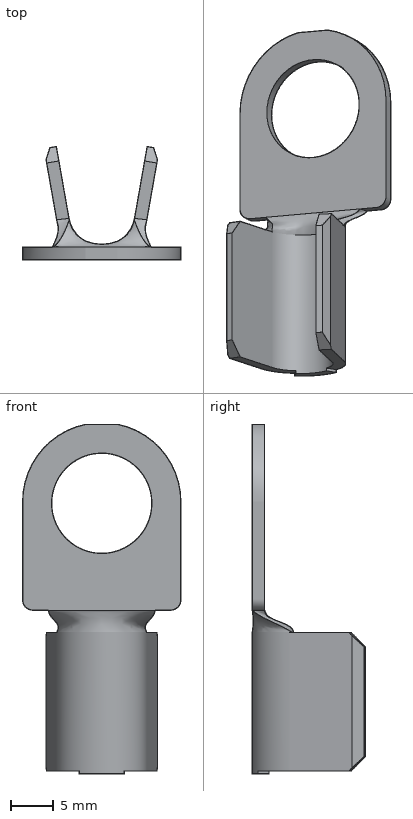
import cadquery as cq
import math


sheet = 1.5
total_height = 41.55

tongue_width = 18.8
tongue_radius = tongue_width / 2
top_flat_half_width = 1.9
tongue_bottom = 19.45
corner_radius = 1.25
hole_radius = 5.95
hole_center_z = 32.15
arc_center_z = total_height - math.sqrt(tongue_radius**2 - top_flat_half_width**2)

barrel_radius = 5.4
inner_radius = barrel_radius - sheet
barrel_bottom = 0.35
barrel_top = 16.8
wing_angle = math.radians(10)
wing_tip_y = 13.45
bevel_length = 1.33
bevel_depth = 0.7
wing_corner = 1.75

tab_half_angle = math.radians(30)

neck_extra_angle = math.radians(3)
neck_deep_z = 17.7
deep_half_width = 5.25
deep_inner_half_width = 4.05
deep_outer_y = 3.15
deep_inner_y = 4.15
neck_shallow_z = 18.55
shallow_half_width = 5.95
shallow_inner_half_width = 5.1
shallow_outer_y = 1.33
shallow_inner_y = 2.15
neck_front_y = 0.12
neck_back_y = 1.83
neck_end_front_half_width = 6.35
neck_end_back_half_width = 6.05

bend_half_angle = math.pi / 2 - wing_angle
wing_length = (wing_tip_y - barrel_radius + inner_radius * math.sin(wing_angle)) / math.cos(wing_angle)


def barrel_point(radius, angle):
    """XY point on a barrel arc; the angle is taken from the lowest point towards +X."""
    return (radius * math.sin(angle), barrel_radius - radius * math.cos(angle))


def along_wing(point, distance):
    """Shift an XY point along the +X wing, away from the barrel."""
    return (point[0] + distance * math.sin(wing_angle), point[1] + distance * math.cos(wing_angle))


def mirrored(point):
    return (-point[0], point[1])


def sector(half_angle, z):
    """Closed band of sheet around the barrel axis, from -half_angle to +half_angle."""
    outer_end = barrel_point(barrel_radius, half_angle)
    inner_end = barrel_point(inner_radius, half_angle)
    return (
        cq.Workplane("XY", origin=(0, 0, z))
        .moveTo(*mirrored(outer_end))
        .threePointArc((0, 0), outer_end)
        .lineTo(*inner_end)
        .threePointArc((0, sheet), mirrored(inner_end))
        .close()
    )


def make_tongue():
    arc_offset = tongue_radius * math.cos(math.pi / 4)
    blank = (
        cq.Workplane("XZ")
        .moveTo(-tongue_radius, tongue_bottom)
        .lineTo(tongue_radius, tongue_bottom)
        .lineTo(tongue_radius, arc_center_z)
        .threePointArc((arc_offset, arc_center_z + arc_offset), (top_flat_half_width, total_height))
        .lineTo(-top_flat_half_width, total_height)
        .threePointArc((-arc_offset, arc_center_z + arc_offset), (-tongue_radius, arc_center_z))
        .close()
        .extrude(-sheet)
    )
    blank = blank.faces("<Z").edges("|Y").fillet(corner_radius)
    hole = cq.Workplane("XZ").center(0, hole_center_z).circle(hole_radius).extrude(-sheet)
    return blank.cut(hole)


def make_wing():
    """The +X wing: outer face bevelled at the tip, tip corners cut at 45 degrees."""
    outer_root = barrel_point(barrel_radius, bend_half_angle)
    inner_root = barrel_point(inner_radius, bend_half_angle)
    inner_tip = along_wing(inner_root, wing_length)
    bevel_start = along_wing(outer_root, wing_length - bevel_length)
    tip_width = sheet - bevel_depth
    outer_tip = (
        inner_tip[0] + tip_width * math.cos(wing_angle),
        inner_tip[1] - tip_width * math.sin(wing_angle),
    )
    plate = (
        cq.Workplane("XY", origin=(0, 0, barrel_bottom))
        .polyline([outer_root, bevel_start, outer_tip, inner_tip, inner_root])
        .close()
        .extrude(barrel_top - barrel_bottom)
    )
    tip_y = inner_tip[1]
    side_outline = (
        cq.Workplane("YZ")
        .moveTo(tip_y - 2 * wing_length, barrel_bottom)
        .lineTo(tip_y - wing_corner, barrel_bottom)
        .lineTo(tip_y, barrel_bottom + wing_corner)
        .lineTo(tip_y, barrel_top - wing_corner)
        .lineTo(tip_y - wing_corner, barrel_top)
        .lineTo(tip_y - 2 * wing_length, barrel_top)
        .close()
        .extrude(tongue_radius, both=True)
        .translate((inner_tip[0], 0, 0))
        .rotate((*inner_tip, 0), (*inner_tip, 1), -math.degrees(wing_angle))
    )
    return plate.intersect(side_outline)


def trough(half_width, inner_half_width, outer_y, inner_y, z):
    """Closed wire of a bowed strip: front arc, slanted ends and back arc."""
    outer_end = (half_width, outer_y)
    inner_end = (inner_half_width, inner_y)
    return (
        cq.Workplane("XY", origin=(0, 0, z))
        .moveTo(*mirrored(outer_end))
        .threePointArc((0, neck_front_y), outer_end)
        .lineTo(*inner_end)
        .threePointArc((0, neck_back_y), mirrored(inner_end))
        .close()
        .val()
    )


def make_neck():
    """Smooth transition from the U section through two flattening troughs to the flat tongue."""
    base = sector(bend_half_angle + neck_extra_angle, barrel_top).val()
    deep = trough(deep_half_width, deep_inner_half_width, deep_outer_y, deep_inner_y, neck_deep_z)
    shallow = trough(
        shallow_half_width, shallow_inner_half_width, shallow_outer_y, shallow_inner_y, neck_shallow_z
    )
    end = (
        cq.Workplane("XY", origin=(0, 0, tongue_bottom))
        .moveTo(-neck_end_front_half_width, 0)
        .lineTo(neck_end_front_half_width, 0)
        .lineTo(neck_end_back_half_width, sheet)
        .lineTo(-neck_end_back_half_width, sheet)
        .close()
        .val()
    )
    return cq.Workplane(cq.Solid.makeLoft([base, deep, shallow, end]))


barrel = sector(bend_half_angle, barrel_bottom).extrude(barrel_top - barrel_bottom)
wing = make_wing()
tab = sector(tab_half_angle, 0).extrude(barrel_bottom)

result = barrel.union(wing).union(wing.mirror("YZ")).union(tab).union(make_neck()).union(make_tongue())